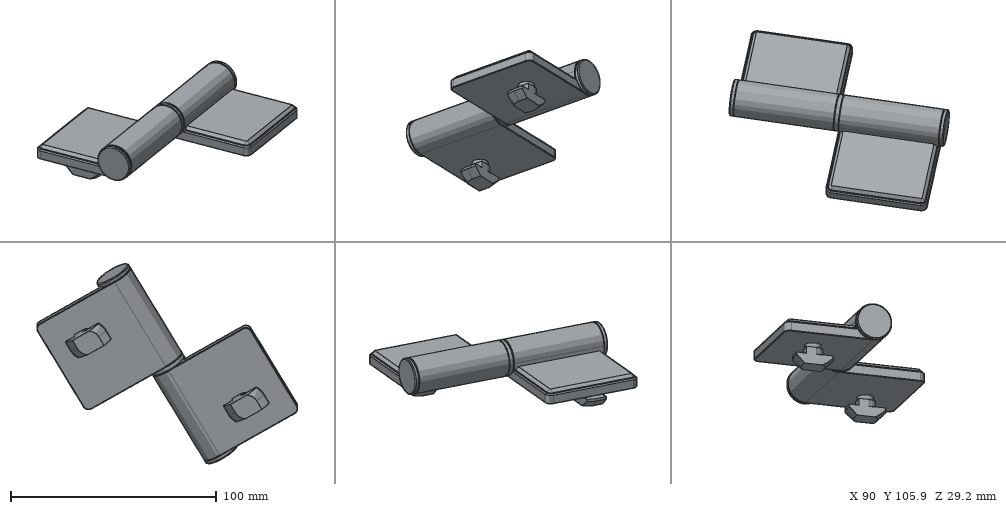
import cadquery as cq
import math

barrel_length = 105.9
barrel_radius = 9.0
end_chamfer = 0.5
knuckle_length = 50.0
spacer_length = 2.0
knuckle_chamfer = 0.4

leaf_reach = 45.0
leaf_corner_radius = 3.0
plate_height = 5.2
plate_top_chamfer = 0.6
plate_bottom_chamfer = 0.3
leaf_height = 7.0
pad_inset = 1.1
pad_chamfer = 1.5

stud_x = 25.0
stud_y = 33.4
shank_diameter = 8.0
shank_height = 2.5
neck_width = 10.0
neck_height = 3.5
head_length = 19.9
head_bottom_length = 12.0
head_height = 5.2
head_rim_height = 1.3

leaf_bottom = -barrel_radius
leaf_near_y = spacer_length / 2
leaf_middle_y = leaf_near_y + knuckle_length / 2


def make_disc(near_y, far_y):
    """Full-radius slice of the barrel between two places along its axis."""
    return cq.Workplane("XZ", origin=(0, far_y, 0)).circle(barrel_radius).extrude(far_y - near_y)


def make_cap():
    """Cap on the +Y end of the barrel, chamfered on its outer rim."""
    cap = make_disc(leaf_near_y + knuckle_length, barrel_length / 2)
    return cap.faces(">Y").chamfer(end_chamfer)


def make_knuckle():
    """Round knuckle whose lower +X quadrant is squared off down to the leaf."""
    diagonal = barrel_radius * math.sqrt(0.5)
    profile = (
        cq.Workplane("XZ", origin=(0, leaf_middle_y, 0))
        .moveTo(barrel_radius, 0)
        .threePointArc((0, barrel_radius), (-barrel_radius, 0))
        .threePointArc((-diagonal, -diagonal), (0, leaf_bottom))
        .lineTo(barrel_radius, leaf_bottom)
        .close()
    )
    knuckle = profile.extrude(knuckle_length / 2, both=True)
    return knuckle.faces("<Y or >Y").chamfer(knuckle_chamfer)


def make_slab(inset, bottom, top):
    """Leaf outline from the barrel axis outward, moved in by inset, with rounded outer corners."""
    reach = leaf_reach - inset
    slab = (
        cq.Workplane("XY", origin=(reach / 2, leaf_middle_y, bottom))
        .rect(reach, knuckle_length - 2 * inset)
        .extrude(top - bottom)
    )
    return slab.edges("|Z and >X").fillet(leaf_corner_radius - inset)


def make_leaf():
    """Knuckle and plate with a chamfered raised pad, on the +X and +Y side."""
    plate_top = leaf_bottom + plate_height
    plate_mid_height = leaf_bottom + plate_height / 2
    plate = make_slab(0, leaf_bottom, plate_top)
    plate = plate.faces(">Z").edges("not <X").chamfer(plate_top_chamfer)
    plate = plate.faces("<Z").edges("not <X").chamfer(plate_bottom_chamfer)
    pad = make_slab(pad_inset, plate_mid_height, leaf_bottom + leaf_height)
    pad = pad.faces(">Z").edges("not <X").chamfer(pad_chamfer)
    return make_knuckle().union(plate).union(pad)


def make_stud():
    """Shank, neck and hammer head; two opposite quadrants are rounded so the head can turn."""
    neck_top = -shank_height
    head_top = neck_top - neck_height
    rim_bottom = head_top - head_rim_height
    head_bottom = head_top - head_height
    half_neck = neck_width / 2
    half_head = head_length / 2
    half_bottom = head_bottom_length / 2

    half_outline = [
        (half_neck, neck_top),
        (half_neck, head_top),
        (half_head, head_top),
        (half_head, rim_bottom),
        (half_bottom, head_bottom),
    ]
    mirrored_outline = [(-x, z) for x, z in reversed(half_outline)]
    square_form = (
        cq.Workplane("XZ").polyline(half_outline + mirrored_outline).close().extrude(half_neck, both=True)
    )
    round_form = (
        cq.Workplane("XZ")
        .polyline([(0, neck_top)] + half_outline + [(0, head_bottom)])
        .close()
        .revolve(360, (0, 0), (0, 1))
    )

    square_quadrants = (
        cq.Workplane("XY", origin=(0, 0, head_bottom))
        .pushPoints([(-half_head / 2, -half_neck / 2), (half_head / 2, half_neck / 2)])
        .rect(half_head, half_neck)
        .extrude(neck_top - head_bottom)
    )
    shank = cq.Workplane("XY").circle(shank_diameter / 2).extrude(-shank_height)
    rounded = square_form.intersect(round_form)
    squared = square_form.intersect(square_quadrants)
    return rounded.union(squared).union(shank)


leaf = make_leaf()
stud = make_stud()
cap = make_cap()
result = make_disc(-leaf_near_y, leaf_near_y)
for turn, side in ((0, 1), (180, -1)):
    result = result.union(leaf.rotate((0, 0, 0), (0, 0, 1), turn))
    result = result.union(cap.rotate((0, 0, 0), (0, 0, 1), turn))
    result = result.union(stud.translate((side * stud_x, side * stud_y, leaf_bottom)))